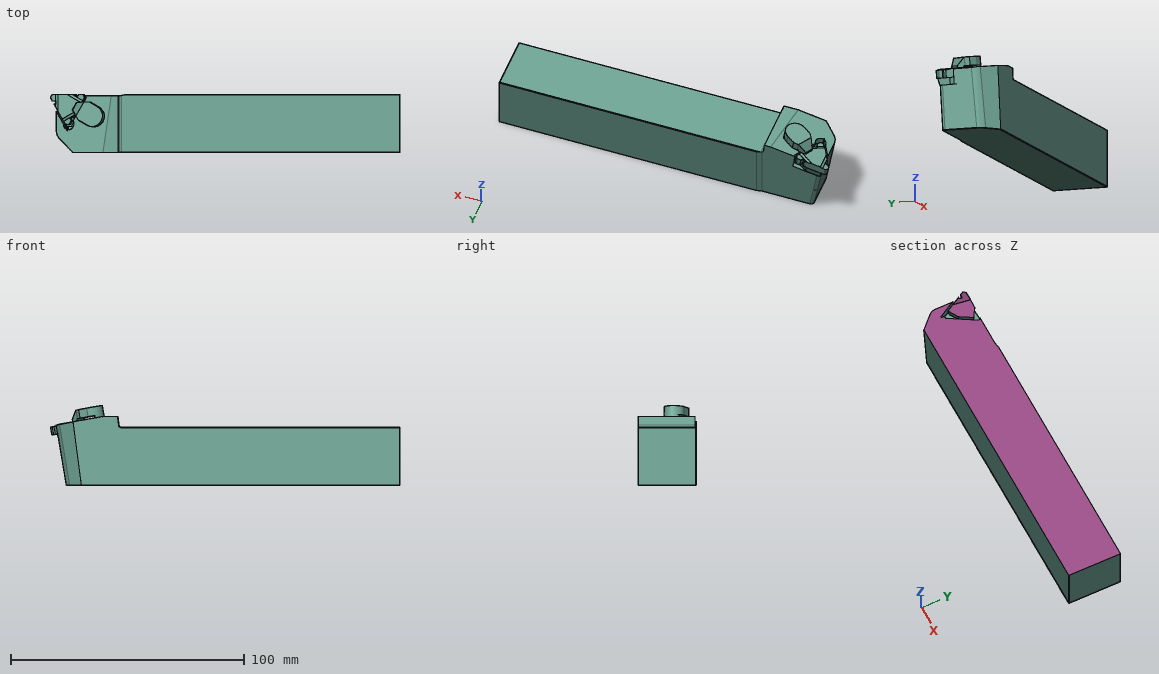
import cadquery as cq
import math

total_length = 149.9
shank_width = 25.0
shank_height = 25.0
edge_chamfer = 0.3

head_height = 29.65
step_top_x = 29.0
step_foot_x = 29.6
step_fillet = 1.0
crest_x = 26.2
top_slope = 10.0
top_roll = 1.5
end_bottom_x = 6.8
end_lean = math.tan(math.radians(9.5))
nose_bevel_bottom_x = 13.3
nose_bevel_lean = math.tan(math.radians(7.5))
bevel_fillet = 5.0
back_relief = 0.5
relief_start_x = 30.0
relief_end_x = 32.5
back_corner_fillet = 1.5

inscribed_radius = 9.525 / 2
insert_x = 7.28
insert_overhang = 0.03
insert_y = insert_overhang - inscribed_radius
insert_depth = 3.5
back_turn = -90.0
corner_reach = 8.1
corner_turn = -35.0
corner_round = 0.4
plate_height = 0.4
plate_top_offset = 4.0
plate_foot_offset = 5.1
notch_points = [(-8.2, 2.0), (-5.1, 1.8), (-5.1, 0.8), (-7.2, 0.2)]
shim_thickness = 3.0
shim_taper = 10.0
pocket_gap = 0.7
relief_hole_x = 7.8
relief_hole_y = -12.8
relief_hole_radius = 2.3

clamp_x = 18.65
clamp_y = -9.35
clamp_turn = -30.0
heel_radius = 4.6
clamp_top = 5.06
clamp_underside = 1.3
shoulder_u = -6.0
shoulder_half_width = 3.55
flank_u = -4.0
nose_u = -9.3
nose_v_low = -2.3
nose_v_high = 1.4
nose_lip_top = 1.5
nose_foot_u = -7.0
heel_foot_u = 2.7

oversize = 60.0


slope_rise = math.tan(math.radians(top_slope))
roll_rise = math.tan(math.radians(top_roll))
top_normal = cq.Vector(-slope_rise, roll_rise, 1.0)
top_origin_z = head_height - slope_rise * crest_x


def top_plane(x, y):
    """Workplane on the sloping head top above the point (x, y)."""
    origin = (x, y, top_origin_z + slope_rise * x - roll_rise * y)
    return cq.Plane(origin=origin, xDir=(1, 0, slope_rise), normal=top_normal.toTuple())


def make_shank():
    shank = cq.Workplane("XY").box(total_length - relief_end_x, shank_width, shank_height, centered=False)
    shank = shank.translate((relief_end_x, -shank_width, 0))
    return shank.edges(">X").chamfer(edge_chamfer)


def head_section(z):
    """Plan outline of the head at height z; the end faces lean towards -X as they rise."""
    end_x = end_bottom_x - end_lean * z
    bevel_x = nose_bevel_bottom_x - nose_bevel_lean * z
    bevel_y = bevel_x - end_x - shank_width
    return [
        (end_x, 0, z),
        (end_x, bevel_y, z),
        (bevel_x, -shank_width, z),
        (relief_end_x, -shank_width, z),
        (relief_end_x, 0, z),
    ]


def make_head():
    sections = [cq.Wire.makePolygon([cq.Vector(*p) for p in head_section(z)], close=True)
                for z in (0, head_height)]
    head = cq.Workplane(cq.Solid.makeLoft(sections, True))

    relief = (
        cq.Workplane("XY")
        .polyline([(-oversize, -back_relief), (relief_start_x, -back_relief),
                   (relief_end_x, 0), (relief_end_x, oversize), (-oversize, oversize)])
        .close().extrude(head_height)
    )
    head = head.cut(relief)
    mid_z = head_height / 2
    end_x, bevel_y, _ = head_section(mid_z)[1]
    bevel_edge = cq.NearestToPointSelector((end_x, bevel_y, mid_z))
    head = head.edges(bevel_edge).fillet(bevel_fillet)
    back_edge = cq.NearestToPointSelector((end_x, -back_relief, mid_z))
    head = head.edges(back_edge).fillet(back_corner_fillet)

    step = (
        cq.Workplane("XZ")
        .polyline([(step_top_x, head_height), (step_foot_x, shank_height),
                   (oversize, shank_height), (oversize, head_height)])
        .close().extrude(shank_width)
    )
    foot_edge = step.edges(cq.NearestToPointSelector((step_foot_x, -shank_width / 2, shank_height)))
    step = foot_edge.fillet(step_fillet)
    head = head.cut(step)

    above_top = cq.Workplane(top_plane(0, 0)).rect(2 * oversize, 2 * oversize).extrude(oversize)
    return head.cut(above_top)


def triangle(side_distance, depth, turn=0.0, taper=0.0):
    """Regular triangular plate hanging below Z = 0; at turn 0 one side faces -X."""
    corner_circle = 4 * side_distance
    plate = cq.Workplane("XY").polygon(3, corner_circle).extrude(-depth, taper=taper)
    return plate.rotate((0, 0, 0), (0, 0, 1), turn)


def make_insert():
    corner_flats = triangle(corner_reach, insert_depth, corner_turn)
    insert = triangle(inscribed_radius, insert_depth, back_turn).intersect(corner_flats)
    insert = insert.edges("|Z").fillet(corner_round)
    for turn in (0, 120, 240):
        notch = cq.Workplane("XY").polyline(notch_points).close().extrude(-insert_depth)
        insert = insert.cut(notch.rotate((0, 0, 0), (0, 0, 1), turn))

    plate = triangle(inscribed_radius, plate_height, back_turn).translate((0, 0, plate_height))
    bevels = (
        cq.Workplane("XY").polygon(3, 4 * plate_foot_offset)
        .workplane(offset=plate_height).polygon(3, 4 * plate_top_offset).loft(ruled=True)
    )
    return insert.union(plate.intersect(bevels))


def make_shim():
    shim = triangle(inscribed_radius, shim_thickness, back_turn, shim_taper)
    corner_flats = triangle(plate_foot_offset, shim_thickness, taper=shim_taper)
    return shim.intersect(corner_flats)


def make_pocket():
    """Recess for shim and insert; blunt at the inner corners, open through the end face."""
    depth = insert_depth + shim_thickness
    pocket = triangle(inscribed_radius + pocket_gap, depth, back_turn)
    corner_flats = triangle(corner_reach + pocket_gap, depth, corner_turn)
    open_side = cq.Workplane("XY").rect(oversize, oversize).extrude(-depth).translate((-oversize / 2, 0, 0))
    return pocket.intersect(corner_flats.union(open_side))


def make_clamp():
    """Clamp in its own frame: U along X, V along Y, sloping top at Z = 0."""
    outline = (
        cq.Workplane("XY")
        .moveTo(nose_u, nose_v_low)
        .lineTo(shoulder_u, -shoulder_half_width)
        .lineTo(flank_u, -heel_radius)
        .lineTo(0, -heel_radius)
        .threePointArc((heel_radius, 0), (0, heel_radius))
        .lineTo(flank_u, heel_radius)
        .lineTo(shoulder_u, shoulder_half_width)
        .lineTo(nose_u, nose_v_high)
        .close().extrude(clamp_top)
    )
    profile = (
        cq.Workplane("XZ")
        .polyline([(nose_u, plate_height), (nose_u, nose_lip_top), (shoulder_u, clamp_top),
                   (heel_radius, clamp_top), (heel_radius, 0), (heel_foot_u, 0),
                   (heel_foot_u, clamp_underside), (shoulder_u, clamp_underside),
                   (nose_foot_u, plate_height)])
        .close().extrude(heel_radius, both=True)
    )
    return outline.intersect(profile)


def place(shape, x, y, lift=0.0):
    """Move a shape from its own frame onto the sloping head top."""
    moved = shape.translate((0, 0, lift)).val().moved(cq.Location(top_plane(x, y)))
    return cq.Workplane(moved)


insert = place(make_insert(), insert_x, insert_y)
shim = place(make_shim(), insert_x, insert_y, -insert_depth)
pocket = place(make_pocket(), insert_x, insert_y)
relief_cylinder = cq.Workplane("XY").circle(relief_hole_radius).extrude(-insert_depth)
relief_hole = place(relief_cylinder, relief_hole_x, relief_hole_y)
turned_clamp = make_clamp().rotate((0, 0, 0), (0, 0, 1), clamp_turn)
clamp = place(turned_clamp, clamp_x, clamp_y)


def make_holder():
    """Shank and head with the seated shim and the clamp, as one body."""
    holder = make_head().union(make_shank())
    holder = holder.faces("<Z").edges("not >X").chamfer(edge_chamfer)
    shank_mid_x = (step_foot_x + total_length) / 2
    for side_y in (-shank_width, 0):
        shank_edge = cq.NearestToPointSelector((shank_mid_x, side_y, shank_height))
        holder = holder.edges(shank_edge).chamfer(edge_chamfer)
    return holder.cut(pocket).cut(relief_hole).union(shim).union(clamp).cut(insert)


holder = make_holder()

result = cq.Compound.makeCompound([*holder.vals(), *insert.vals()])